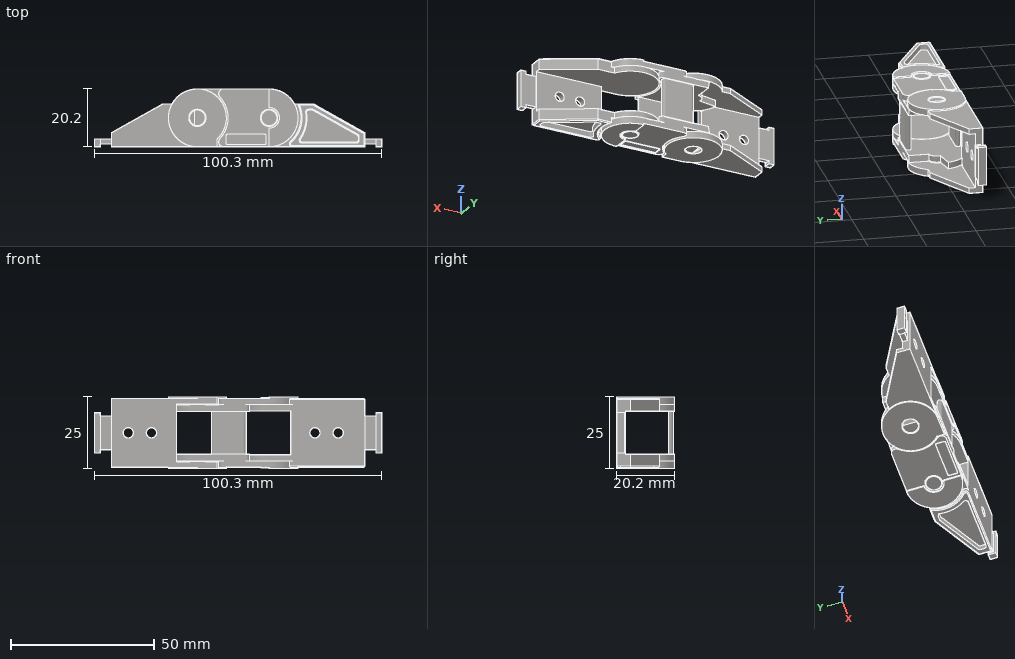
import cadquery as cq
import math

PITCH = 25.0
HEIGHT = 20.2
RADIUS = HEIGHT / 2
PIVOT_Y = HEIGHT / 2
PIN_RADIUS = 2.75
PIN_HOLE_RADIUS = 3.0
PIN_TOP = 12.25
PIN_BEVEL_START = 1.0
PIN_BEVEL_ANGLE = 30.0

LINK_INNER = 7.43
ARM_SPLIT = 9.85
OUTER_FACE = 12.0
PAD_FACE = 12.5
LEFT_ARM_INNER = 10.0
TONGUE_INNER = 7.6

LINK_CLEARANCE = 10.7
LINK_OUTER_START = 9.14
LINK_INNER_END = PITCH - 8.0
PAD_HOLE_RADIUS = 3.6
HUB_RADIUS = 3.0
SECTOR_OUTER_Y = 8.0
SECTOR_HUB_Y = 9.4
SECTOR_RAMP_OUTER = -1.0
SECTOR_RAMP_INNER = -0.5
BAR_LEFT = 4.9
BAR_RIGHT = 17.1
BAR_BOTTOM = 18.0
BAR_TOP = 19.9
BAR_LEFT_ROUND = 0.94
BAR_RIGHT_OUTER_ROUND = 1.2
BAR_RIGHT_INNER_ROUND = 0.5
LABEL_LEFT = 10.05
LABEL_RIGHT = 23.9
LABEL_BOTTOM = 0.8
LABEL_TOP = 4.4
LABEL_CORNER = 0.4
LABEL_DEPTH = 0.2

LEFT_END = 30.0
RIGHT_END = 33.41
END_HEIGHT = 4.9
SHOULDER_HEIGHT = 15.0
SLOPE_RUN = 18.0
LEFT_BASE_THICKNESS = 2.7
RIGHT_BASE_THICKNESS = 3.1
LEFT_WINDOW = 7.2
RIGHT_WINDOW = 7.55
LEFT_ARM_FOOT = 6.9
SCREW_POSITIONS = (16.0, 24.1)
SCREW_HOLE_RADIUS = 1.75

WING_CLEARANCE = 11.1
WING_START = 8.1
WING_CHAMFER = 0.4
POCKET_MARGIN = 1.3
POCKET_SLOPE_MARGIN = 1.7
POCKET_ARC_MARGIN = 1.8
POCKET_TOP_MARGIN = 1.9
POCKET_END_MARGIN = 2.0
POCKET_DEPTH = 2.0
POCKET_TAPER = 9.0
POCKET_CORNER = 1.0

HOOK_REACH = 5.95
HOOK_HEAD_LENGTH = 2.1
HOOK_HEAD_WIDTH = 14.1
HOOK_NECK_WIDTH = 11.8
HOOK_TOP = 2.8
HOOK_NECK_BOTTOM = 0.9


def block(x0, x1, y0, y1, z0, z1):
    return cq.Workplane("XY").box(x1 - x0, y1 - y0, z1 - z0, centered=False).translate((x0, y0, z0))


def disc(x, radius, z0, z1):
    return cq.Workplane("XY", origin=(x, PIVOT_Y, z0)).circle(radius).extrude(z1 - z0)


def both_sides(upper):
    return upper.union(upper.mirror("XY"))


def tip_radius(clearance, offset):
    """Radius of a rounded tip tangent to the bottom edge and to a clearance arc around a pivot.

    The tip's centre lies `offset` from the pivot along X.
    """
    return (offset**2 + PIVOT_Y**2 - clearance**2) / (2 * (PIVOT_Y + clearance))


def concave_outline(pivot_x, side, clearance, offset, far_x):
    """Plate profile from a clearance arc around a pivot to far_x, with rounded upper and lower tips.

    `side` is +1 when the plate lies on the +X side of the pivot and -1 on the -X side.
    """
    radius = tip_radius(clearance, offset)
    tip_y = PIVOT_Y - radius
    angle = math.atan2(tip_y, offset)
    touch_x = clearance * math.cos(angle)
    touch_y = clearance * math.sin(angle)
    middle = (math.pi / 2 + math.pi + angle) / 2
    mid_x = offset + radius * math.cos(middle)
    mid_y = tip_y + radius * math.sin(middle)

    def at(x, y):
        return (pivot_x + side * x, PIVOT_Y + y)

    return (
        cq.Workplane("XY")
        .moveTo(far_x, 0)
        .lineTo(*at(offset, -PIVOT_Y))
        .threePointArc(at(mid_x, -mid_y), at(touch_x, -touch_y))
        .threePointArc(at(clearance, 0), at(touch_x, touch_y))
        .threePointArc(at(mid_x, mid_y), at(offset, PIVOT_Y))
        .lineTo(far_x, HEIGHT)
        .close()
    )


def side_profile(pivot_x, side, end):
    """Bracket side profile from its pivot to its low end, with the sloping upper edge."""
    shoulder = end - SLOPE_RUN
    points = [(0, 0), (end, 0), (end, END_HEIGHT), (shoulder, SHOULDER_HEIGHT), (0, SHOULDER_HEIGHT)]
    return cq.Workplane("XY").polyline([(pivot_x + side * x, y) for x, y in points]).close()


def pin(pivot_x, z0):
    return disc(pivot_x, PIN_RADIUS, z0, PIN_TOP)


def hook(end_x, side):
    tip = end_x + side * HOOK_REACH
    head_inner = tip - side * HOOK_HEAD_LENGTH
    half_head = HOOK_HEAD_WIDTH / 2
    half_neck = HOOK_NECK_WIDTH / 2
    head = block(min(tip, head_inner), max(tip, head_inner), 0, HOOK_TOP, -half_head, half_head)
    neck = block(
        min(end_x, head_inner), max(end_x, head_inner), HOOK_NECK_BOTTOM, HOOK_TOP, -half_neck, half_neck
    )
    return head.union(neck)


def screw_holes(pivot_x, side, depth):
    centres = [(pivot_x + side * x, 0) for x in SCREW_POSITIONS]
    return cq.Workplane("XZ").pushPoints(centres).circle(SCREW_HOLE_RADIUS).extrude(-depth)


def make_left_bracket():
    arm = side_profile(0, -1, LEFT_END).extrude(OUTER_FACE - LEFT_ARM_INNER)
    arm = arm.translate((0, 0, LEFT_ARM_INNER))
    foot_top = PIVOT_Y - math.sqrt(RADIUS**2 - LEFT_ARM_FOOT**2)
    arm = arm.union(disc(0, RADIUS, LEFT_ARM_INNER, PAD_FACE))
    arm = arm.union(block(0, LEFT_ARM_FOOT, 0, foot_top, LEFT_ARM_INNER, PAD_FACE))
    arm = arm.cut(disc(0, PIN_HOLE_RADIUS, LEFT_ARM_INNER, PAD_FACE))
    base = block(-LEFT_END, -LEFT_WINDOW, 0, LEFT_BASE_THICKNESS, -OUTER_FACE, OUTER_FACE)
    base = base.cut(both_sides(disc(0, LINK_CLEARANCE, LINK_INNER, LEFT_ARM_INNER)))
    bracket = both_sides(arm).union(base).union(hook(-LEFT_END, -1))
    return bracket.cut(screw_holes(0, -1, LEFT_BASE_THICKNESS))


def link_sector():
    """Opening in the link's disc end, from a near-level wall up to a ramp, clear of the pivot's hub."""
    ramp = (
        cq.Workplane("XZ")
        .polyline(
            [
                (-RADIUS, LINK_INNER),
                (SECTOR_RAMP_INNER, LINK_INNER),
                (SECTOR_RAMP_OUTER, ARM_SPLIT),
                (-RADIUS, ARM_SPLIT),
            ]
        )
        .close()
        .extrude(-HEIGHT)
    )
    wall_outline = [
        (-RADIUS, SECTOR_OUTER_Y),
        (-HUB_RADIUS, SECTOR_HUB_Y),
        (0, PIVOT_Y),
        (0, HEIGHT),
        (-RADIUS, HEIGHT),
    ]
    above_wall = cq.Workplane("XY").polyline(wall_outline).close().extrude(ARM_SPLIT)
    return ramp.intersect(above_wall).cut(disc(0, HUB_RADIUS, LINK_INNER, ARM_SPLIT))


def make_link():
    inner_offset = PITCH - LINK_INNER_END
    inner = concave_outline(PITCH, -1, LINK_CLEARANCE, inner_offset, 0).extrude(ARM_SPLIT - LINK_INNER)
    inner = inner.translate((0, 0, LINK_INNER)).union(disc(0, RADIUS, LINK_INNER, ARM_SPLIT))
    inner = inner.cut(link_sector())

    outer = concave_outline(0, 1, LINK_CLEARANCE, LINK_OUTER_START, PITCH).extrude(OUTER_FACE - ARM_SPLIT)
    outer = outer.translate((0, 0, ARM_SPLIT)).union(disc(PITCH, RADIUS, ARM_SPLIT, OUTER_FACE))
    pad = disc(PITCH, RADIUS, OUTER_FACE, PAD_FACE).cut(disc(PITCH, PAD_HOLE_RADIUS, OUTER_FACE, PAD_FACE))
    pad = pad.intersect(block(PITCH, PITCH + RADIUS, 0, HEIGHT, OUTER_FACE, PAD_FACE))
    outer = outer.union(pad).cut(disc(PITCH, PIN_HOLE_RADIUS, ARM_SPLIT, OUTER_FACE))
    label = block(LABEL_LEFT, LABEL_RIGHT, LABEL_BOTTOM, LABEL_TOP, OUTER_FACE - LABEL_DEPTH, OUTER_FACE)
    outer = outer.cut(label.edges("|Z").fillet(LABEL_CORNER))

    bevel_drop = (PIN_RADIUS - PIN_BEVEL_START) * math.tan(math.radians(PIN_BEVEL_ANGLE))
    bevel = (
        cq.Workplane("XZ")
        .polyline(
            [(-PIN_BEVEL_START, PIN_TOP), (-PIN_RADIUS, PIN_TOP), (-PIN_RADIUS, PIN_TOP - bevel_drop)]
        )
        .close()
        .extrude(-HEIGHT)
    )
    side = inner.union(outer).union(pin(0, ARM_SPLIT).cut(bevel))

    bar = block(BAR_LEFT, BAR_RIGHT, BAR_BOTTOM, BAR_TOP, -LINK_INNER, LINK_INNER)
    bar = bar.edges("|Z and <X").fillet(BAR_LEFT_ROUND)
    bar = bar.faces(">X").edges(">Y").fillet(BAR_RIGHT_OUTER_ROUND)
    bar = bar.faces(">X").edges("<Y").fillet(BAR_RIGHT_INNER_ROUND)
    opposite_bar = bar.mirror("XZ", (0, PIVOT_Y, 0))
    return both_sides(side).union(bar).union(opposite_bar)


def wing_pocket():
    """Tapered pocket whose mouth leaves a rim along each edge of the wing."""
    slope = (SHOULDER_HEIGHT - END_HEIGHT) / SLOPE_RUN
    drop = POCKET_SLOPE_MARGIN * math.hypot(1, slope)
    end = RIGHT_END - POCKET_END_MARGIN
    end_y = END_HEIGHT + slope * POCKET_END_MARGIN - drop
    top_y = SHOULDER_HEIGHT - POCKET_TOP_MARGIN
    top_x = end - (top_y - end_y) / slope
    points = [
        (0, POCKET_MARGIN),
        (end, POCKET_MARGIN),
        (end, end_y),
        (top_x, top_y),
        (0, top_y),
        (0, POCKET_MARGIN),
    ]
    outline = (
        cq.Sketch()
        .polygon([(PITCH + x, y) for x, y in points])
        .push([(PITCH, PIVOT_Y)])
        .circle(WING_CLEARANCE + POCKET_ARC_MARGIN, mode="s")
        .reset()
        .vertices()
        .fillet(POCKET_CORNER)
    )
    mouth = cq.Workplane("XY", origin=(0, 0, OUTER_FACE)).placeSketch(outline)
    return mouth.extrude(-POCKET_DEPTH, taper=POCKET_TAPER)


def make_right_bracket():
    tongue = side_profile(PITCH, 1, RIGHT_END).extrude(ARM_SPLIT - TONGUE_INNER)
    tongue = tongue.translate((0, 0, TONGUE_INNER))
    tongue = tongue.union(disc(PITCH, RADIUS, TONGUE_INNER, ARM_SPLIT))

    thickness = OUTER_FACE - ARM_SPLIT
    wing = side_profile(PITCH, 1, RIGHT_END).extrude(thickness)
    wing = wing.intersect(
        concave_outline(PITCH, 1, WING_CLEARANCE, WING_START, PITCH + RIGHT_END).extrude(thickness)
    )
    wing = wing.translate((0, 0, ARM_SPLIT)).faces(">Z").edges().chamfer(WING_CHAMFER)

    side = tongue.union(wing).union(pin(PITCH, ARM_SPLIT)).cut(wing_pocket())
    right_end = PITCH + RIGHT_END
    base = block(PITCH + RIGHT_WINDOW, right_end, 0, RIGHT_BASE_THICKNESS, -ARM_SPLIT, ARM_SPLIT)
    bracket = both_sides(side).union(base).union(hook(right_end, 1))
    return bracket.cut(screw_holes(PITCH, 1, RIGHT_BASE_THICKNESS))


left_bracket = make_left_bracket()
link = make_link()
right_bracket = make_right_bracket()

result = cq.Compound.makeCompound(
    [left_bracket.solids().val(), link.solids().val(), right_bracket.solids().val()]
)